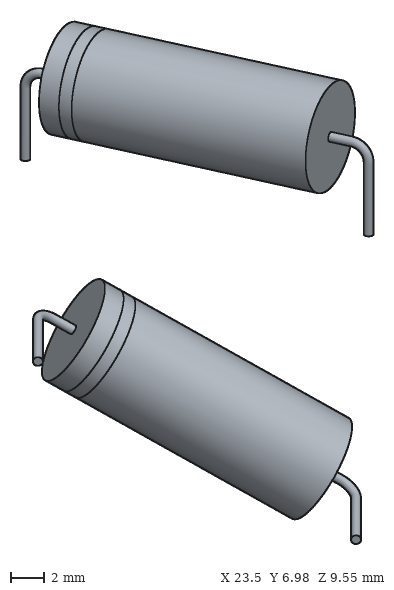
import cadquery as cq

overall_length = 23.5
overall_height = 9.55

housing_length = 17.8
housing_diameter = 6.98

band_offset = 1.35
band_width = 0.85
band_thickness = 0.12

wire_diameter = 0.6
bend_outer_radius = 1.43

housing_radius = housing_diameter / 2
housing_end = housing_length / 2
wire_radius = wire_diameter / 2
bend_radius = bend_outer_radius - wire_radius
lead_x = overall_length / 2 - wire_radius
lead_bottom = housing_radius - overall_height


def make_band():
    """Ring whose outside is flush with the housing."""
    return (
        cq.Workplane("YZ", origin=(band_offset - housing_end, 0, 0))
        .circle(housing_radius)
        .circle(housing_radius - band_thickness)
        .extrude(band_width)
    )


def make_housing(band):
    """Solid cylinder with a groove that the band fills."""
    cylinder = cq.Workplane("YZ", origin=(-housing_end, 0, 0)).circle(housing_radius).extrude(housing_length)
    return cylinder.cut(band)


def make_lead(side):
    """Wire from the housing end face, bent down; side is -1 for the -X end and +1 for the +X end."""
    path = (
        cq.Workplane("XZ")
        .moveTo(side * housing_end, 0)
        .lineTo(side * (lead_x - bend_radius), 0)
        .tangentArcPoint((side * lead_x, -bend_radius), relative=False)
        .lineTo(side * lead_x, lead_bottom)
    )
    return cq.Workplane("YZ", origin=(side * housing_end, 0, 0)).circle(wire_radius).sweep(path)


band = make_band()
housing = make_housing(band)
leads = [make_lead(side) for side in (-1, 1)]

result = cq.Compound.makeCompound([housing.val(), band.val(), *[lead.val() for lead in leads]])